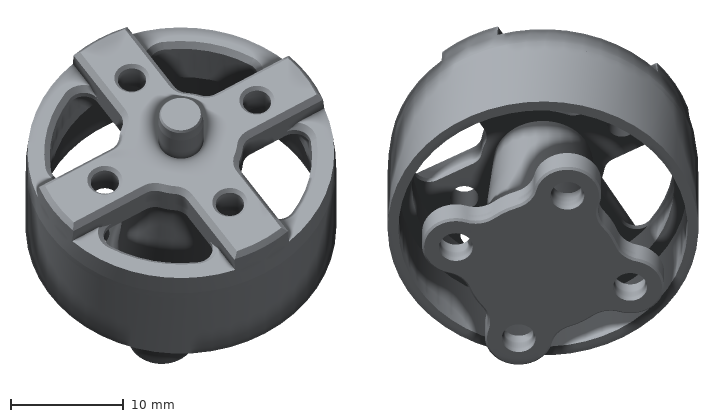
import cadquery as cq
import math

outer_radius = 13.75
total_height = 23.2
draft_angle = 5.0
chamfer_angle = 45

foot_height = 2.5
foot_edge_chamfer = 0.2
foot_core_radius = 6.98
lug_radius = 3.0
lug_hole_diameter = 3.0
lug_offset = 5.66
lug_blend_radius = 2.5
column_foot_radius = 5.58
column_fillet = 0.8
boss_radius = 2.5
shaft_diameter = 4.0
shaft_taper_base = 21.97
shaft_taper_top = 23.0
shaft_tip_radius = 1.75

ring_bottom = 5.9
ring_top = 14.45
ring_inner_diameter = 25.6

bell_spigot_bottom = 12.43
bell_taper_base = 15.2
bell_inner_radius = 11.6
bell_top = 19.2
bell_plate_thickness = 3.0
rim_top = 17.27
arm_half_width = 2.83
hub_radius = 5.5
hub_blend_radius = 1.5
bell_chamfer = 0.5
arm_end_chamfer = 0.45
window_corner_radius = 1.48
arm_hole_diameter = 2.5
arm_hole_offset = 8.0
arm_hole_chamfer = 0.3

taper = math.tan(math.radians(draft_angle))
bell_underside = bell_top - bell_plate_thickness
arm_end_radius = outer_radius - (bell_top - arm_end_chamfer - bell_taper_base) * taper
column_top_radius = column_foot_radius - (bell_underside - foot_height) * taper
ring_inner_radius = ring_inner_diameter / 2
shaft_radius = shaft_diameter / 2
shaft_shoulder_radius = shaft_radius - (shaft_taper_top - shaft_taper_base) * taper
diagonal = math.sqrt(0.5)


def quarter_copies(shape):
    """Union of a shape with its copies turned by 90, 180 and 270 degrees about Z."""
    copies = shape
    for angle in (90, 180, 270):
        copies = copies.union(shape.rotate((0, 0, 0), (0, 0, 1), angle))
    return copies


def make_foot():
    """Round core with four lugs blended into it, chamfered at the top and bottom."""
    core_reach = foot_core_radius + lug_blend_radius
    lug_reach = lug_radius + lug_blend_radius
    lug_distance = math.hypot(lug_offset, lug_offset)
    cos_swing = (core_reach**2 + lug_distance**2 - lug_reach**2) / (2 * core_reach * lug_distance)
    blend_angle = math.radians(45) - math.acos(cos_swing)
    blend_x = core_reach * math.cos(blend_angle)
    blend_y = core_reach * math.sin(blend_angle)

    web = (
        cq.Workplane("XY")
        .polyline([(0, 0), (blend_x, blend_y), (lug_offset, lug_offset), (blend_y, blend_x)])
        .close()
        .extrude(foot_height)
    )
    blends = (
        cq.Workplane("XY")
        .pushPoints([(blend_x, blend_y), (blend_y, blend_x)])
        .circle(lug_blend_radius)
        .extrude(foot_height)
    )
    lug = cq.Workplane("XY").center(lug_offset, lug_offset).circle(lug_radius).extrude(foot_height)
    core = cq.Workplane("XY").circle(foot_core_radius).extrude(foot_height)
    foot = core.union(quarter_copies(web.cut(blends).union(lug))).clean()
    return foot.faces("<Z or >Z").edges().chamfer(foot_edge_chamfer)


def make_spindle():
    """Foot, tapered column, boss flush with the bell top, and shaft in one piece, with lug holes."""
    column = (
        cq.Workplane("XZ")
        .moveTo(0, foot_height)
        .lineTo(column_foot_radius, foot_height)
        .lineTo(column_top_radius, bell_underside)
        .lineTo(boss_radius, bell_underside)
        .lineTo(boss_radius, bell_top)
        .lineTo(shaft_radius, bell_top)
        .lineTo(shaft_radius, shaft_taper_base)
        .lineTo(shaft_shoulder_radius, shaft_taper_top)
        .lineTo(shaft_tip_radius, total_height)
        .lineTo(0, total_height)
        .close()
        .revolve(360, (0, 0, 0), (0, 1, 0))
    )
    body = make_foot().union(column)
    reach = column_foot_radius + column_fillet / 2
    joint = cq.selectors.BoxSelector(
        (-reach, -reach, foot_height - column_fillet / 2),
        (reach, reach, foot_height + column_fillet / 2),
        boundingbox=True,
    )
    body = body.edges(joint).fillet(column_fillet)
    lug_holes = (
        cq.Workplane("XY")
        .rect(2 * lug_offset, 2 * lug_offset, forConstruction=True)
        .vertices()
        .circle(lug_hole_diameter / 2)
        .extrude(foot_height)
    )
    return body.cut(lug_holes)


def make_ring():
    """Plain tube below the bell, around its spigot."""
    return (
        cq.Workplane("XY")
        .workplane(offset=ring_bottom)
        .circle(outer_radius)
        .circle(ring_inner_radius)
        .extrude(ring_top - ring_bottom)
    )


def make_bell_shell():
    """Turned cup with a spigot that plugs into the ring."""
    return (
        cq.Workplane("XZ")
        .moveTo(0, bell_underside)
        .lineTo(bell_inner_radius, bell_underside)
        .lineTo(bell_inner_radius, bell_spigot_bottom)
        .lineTo(ring_inner_radius, bell_spigot_bottom)
        .lineTo(ring_inner_radius, ring_top)
        .lineTo(outer_radius, ring_top)
        .lineTo(outer_radius, bell_taper_base)
        .lineTo(arm_end_radius, bell_top - arm_end_chamfer)
        .lineTo(arm_end_radius - arm_end_chamfer, bell_top)
        .lineTo(0, bell_top)
        .close()
        .revolve(360, (0, 0, 0), (0, 1, 0))
    )


def arc_middle(center_x, center_y, radius, start_angle, end_angle):
    """Point halfway along an arc, with the angles in radians."""
    angle = (start_angle + end_angle) / 2
    return (center_x + radius * math.cos(angle), center_y + radius * math.sin(angle))


def mirrored(point):
    """Mirror a point across the diagonal between two arms."""
    return (point[1], point[0])


def add_hub_side(path, growth):
    """Continue a path from the arm along +Y, around the hub, to the arm along +X.

    Growth moves this side of the open quadrant evenly into the arms and the hub.
    """
    hub = hub_radius - growth
    blend = hub_blend_radius + growth
    blend_reach = hub_radius + hub_blend_radius
    blend_y = arm_half_width + hub_blend_radius
    blend_x = math.sqrt(blend_reach**2 - blend_y**2)
    blend_angle = math.atan2(blend_y, blend_x)
    hub_point = (hub * math.cos(blend_angle), hub * math.sin(blend_angle))
    hub_middle = (hub * diagonal, hub * diagonal)
    blend_middle = arc_middle(blend_x, blend_y, blend, blend_angle - math.pi, -math.pi / 2)
    blend_end = (blend_x, arm_half_width - growth)
    return (
        path.lineTo(*mirrored(blend_end))
        .threePointArc(mirrored(blend_middle), mirrored(hub_point))
        .threePointArc(hub_middle, hub_point)
        .threePointArc(blend_middle, blend_end)
    )


def window_corner_center():
    """Centre of the rounded window corner that touches the rim and the arm along +X."""
    corner_y = arm_half_width + window_corner_radius
    corner_reach = bell_inner_radius - window_corner_radius
    return (math.sqrt(corner_reach**2 - corner_y**2), corner_y)


def rim_side_start(growth):
    """Point where the window corner, widened by growth, runs parallel to the arm."""
    return (window_corner_center()[0], arm_half_width - growth)


def add_rim_side(path, growth):
    """Continue a path from the arm along +X, along the rim, to the arm along +Y.

    The path must start at rim_side_start(growth). Growth widens this side of the window evenly.
    """
    radius = window_corner_radius + growth
    rim_radius = bell_inner_radius + growth
    corner_x, corner_y = window_corner_center()
    corner_angle = math.atan2(corner_y, corner_x)
    corner_middle = arc_middle(corner_x, corner_y, radius, -math.pi / 2, corner_angle)
    rim_point = (rim_radius * math.cos(corner_angle), rim_radius * math.sin(corner_angle))
    rim_middle = (rim_radius * diagonal, rim_radius * diagonal)
    return (
        path.threePointArc(corner_middle, rim_point)
        .threePointArc(rim_middle, mirrored(rim_point))
        .threePointArc(mirrored(corner_middle), mirrored(rim_side_start(growth)))
    )


def arm_gap_outline(height, growth):
    """Closed outline of the open quadrant between two arms, at a given height."""
    far = outer_radius + growth
    arm_wall = arm_half_width - growth
    path = cq.Workplane("XY").workplane(offset=height).moveTo(far, arm_wall)
    path = path.lineTo(far, far).lineTo(arm_wall, far)
    return add_hub_side(path, growth).close()


def make_arm_gap():
    """Open quadrant above the rim, widened at the bell top by the chamfer of the arms."""
    opening = arm_gap_outline(rim_top, 0).extrude(bell_top - rim_top)
    funnel = arm_gap_outline(bell_top, bell_chamfer).extrude(-bell_chamfer, taper=chamfer_angle)
    return opening.union(funnel)


def make_window():
    """Through opening in one quadrant, with its rim side chamfered at the top."""
    path = cq.Workplane("XY").workplane(offset=bell_underside).moveTo(*rim_side_start(0))
    opening = add_hub_side(add_rim_side(path, 0), 0).close().extrude(rim_top - bell_underside)

    path = cq.Workplane("XY").workplane(offset=rim_top).moveTo(*rim_side_start(bell_chamfer))
    inner_corner = arm_half_width - bell_chamfer
    funnel = (
        add_rim_side(path, bell_chamfer)
        .lineTo(inner_corner, inner_corner)
        .close()
        .extrude(-bell_chamfer, taper=chamfer_angle)
    )
    between_arms = arm_gap_outline(bell_underside, 0).extrude(bell_plate_thickness)
    return opening.union(funnel.intersect(between_arms))


def make_bell():
    """Cup with four arms, rim windows, arm holes and a bore for the spindle boss."""
    bell = make_bell_shell().cut(quarter_copies(make_arm_gap()))
    bell = bell.cut(quarter_copies(make_window()))
    bell = (
        bell.faces(">Z")
        .workplane(origin=(0, 0, bell_top))
        .polarArray(arm_hole_offset, 0, 360, 4)
        .cskHole(arm_hole_diameter, arm_hole_diameter + 2 * arm_hole_chamfer, 2 * chamfer_angle)
    )
    bore = (
        cq.Workplane("XY")
        .workplane(offset=bell_underside)
        .circle(boss_radius)
        .extrude(bell_plate_thickness)
    )
    return bell.cut(bore)


spindle = make_spindle()
ring = make_ring()
bell = make_bell()
result = cq.Compound.makeCompound([spindle.val(), ring.val(), bell.val()])